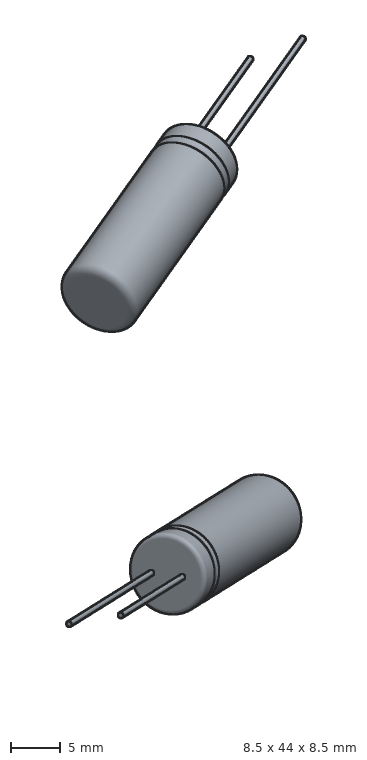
import cadquery as cq

total_length = 44.0
can_diameter = 8.5
can_length = 24.02
can_radius = can_diameter / 2

front_round = 0.92
rear_round = 0.5

groove_rear_offset = 2.3
groove_width = 1.05
groove_depth = 0.1

lead_diameter = 0.6
lead_spacing = 3.45
long_lead_length = total_length - can_length
short_lead_length = 15.0

front_y = -total_length / 2
rear_y = front_y + can_length


def make_can():
    """Revolve the can's half profile, with rounded ends and crimp groove, about the Y axis."""
    groove_rear_y = rear_y - groove_rear_offset
    groove_front_y = groove_rear_y - groove_width
    groove_middle_y = (groove_rear_y + groove_front_y) / 2
    profile = (
        cq.Workplane("XY")
        .moveTo(0, front_y)
        .lineTo(can_radius - front_round, front_y)
        .radiusArc((can_radius, front_y + front_round), -front_round)
        .lineTo(can_radius, groove_front_y)
        .threePointArc((can_radius - groove_depth, groove_middle_y), (can_radius, groove_rear_y))
        .lineTo(can_radius, rear_y - rear_round)
        .radiusArc((can_radius - rear_round, rear_y), -rear_round)
        .lineTo(0, rear_y)
        .close()
    )
    return profile.revolve(360, (0, 0, 0), (0, 1, 0))


def make_lead(x, length):
    """Straight round lead standing on the can's rear face."""
    rear_face = cq.Workplane("XZ", origin=(x, rear_y, 0))
    return rear_face.circle(lead_diameter / 2).extrude(-length)


result = make_can()
for lead_x, lead_length in (
    (-lead_spacing / 2, short_lead_length),
    (lead_spacing / 2, long_lead_length),
):
    result = result.union(make_lead(lead_x, lead_length))